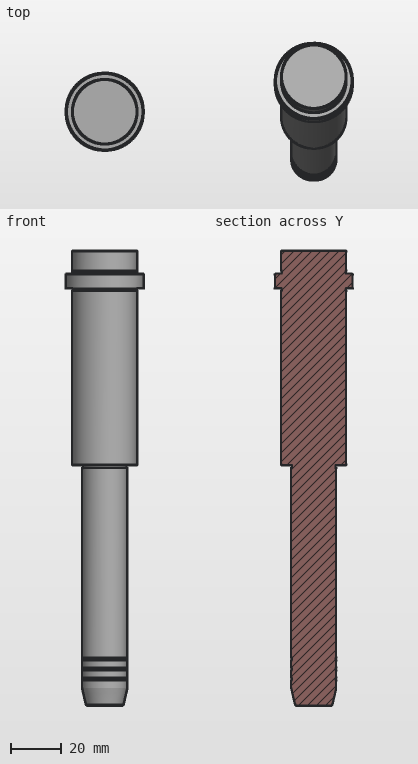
import cadquery as cq

total_length = 180.0
taper_height = 7.0
body_bottom = 95.0
flange_bottom = 165.0
flange_top = 171.0

flange_radius = 15.5
body_radius = 13.0
shank_radius = 9.0
tip_radius = 7.4

tip_chamfer = 0.5
body_chamfer = 0.4
flange_chamfer = 0.5

relief_depth = 0.4
relief_width = 1.0

groove_count = 3
groove_pitch = 4.0
first_groove_height = 10.6
groove_width = 1.0
groove_depth = 0.4


def cylinder(radius, bottom, top):
    """Round bar on the Z axis between two heights."""
    return cq.Workplane("XY").workplane(offset=bottom).circle(radius).extrude(top - bottom)


def vee_groove(radius, center, width, depth):
    """Ring of triangular section that cuts a V-groove into a bar of the given radius."""
    return (
        cq.Workplane("XZ")
        .moveTo(radius, center - width / 2)
        .lineTo(radius - depth, center)
        .lineTo(radius, center + width / 2)
        .close()
        .revolve(360, (0, 0, 0), (0, 1, 0))
    )


tip = (
    cq.Workplane("XY")
    .circle(tip_radius)
    .workplane(offset=taper_height)
    .circle(shank_radius)
    .loft(ruled=True)
    .faces("<Z")
    .chamfer(tip_chamfer)
)

neck_bottom = body_bottom - relief_width
neck = cylinder(shank_radius - relief_depth, neck_bottom, body_bottom)
shank = cylinder(shank_radius, taper_height, neck_bottom).union(neck)
for index in range(groove_count):
    groove_center = first_groove_height + index * groove_pitch
    shank = shank.cut(vee_groove(shank_radius, groove_center, groove_width, groove_depth))

body = cylinder(body_radius, body_bottom, total_length).faces("<Z or >Z").chamfer(body_chamfer)
for relief_center in (flange_bottom - relief_width / 2, flange_top + relief_width / 2):
    body = body.cut(vee_groove(body_radius, relief_center, relief_width, relief_depth))

flange = cylinder(flange_radius, flange_bottom, flange_top).faces(">Z").chamfer(flange_chamfer)

result = tip.union(shank).union(body).union(flange)